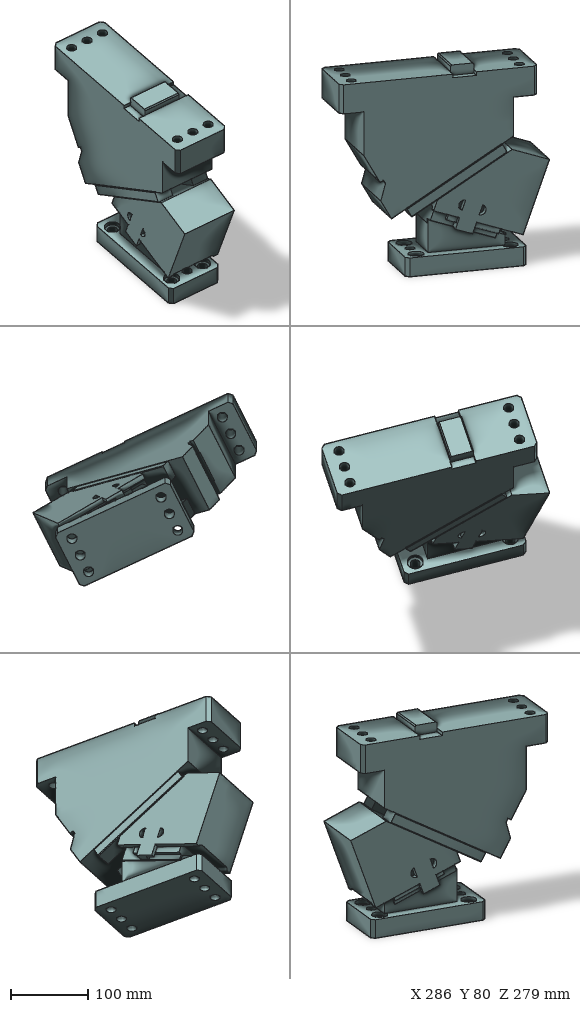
import cadquery as cq
import math

overall_length = 286.0
width = 80.0
half_width = width / 2
corner_chamfer = 5.0
bolt_diameter = 13.0
bolt_pitch = 25.0

drive_angle = 30.0
travel_angle = 20.0

flange_length = 270.0
flange_top = 270.0
flange_thickness = 39.5
flange_bottom = flange_top - flange_thickness
flange_hole_inset = 20.3
block_left = 33.0
block_right = 237.0
block_wall_bottom = 170.5
nose_tip_x = 70.3
nose_tip_z = 81.5
nose_face_length = 29.5
notch_face_length = 44.0
notch_depth = 5.1
notch_width = 5.5
notch_relief_length = 1.5
notch_relief_depth = 6.5
notch_relief_half_width = 21.2
strip_start = 24.0
strip_length = 150.0
strip_thickness = 14.5
strip_chamfer = 1.1
strip_gap_half_width = 16.5

key_left = 154.0
key_length = 32.0
key_y_min = -29.7
key_y_max = 25.0
key_seat_depth = 5.0
key_top = 279.0
key_chamfer = 1.7

travel_origin_x = 127.8
travel_origin_z = 86.5
slider_height = 105.2
groove_half_width = 33.2
groove_depth = 4.0
groove_radius = 5.0
jaw_start = 37.5
jaw_length = 25.0
jaw_depth = 16.0
jaw_side_inner = 34.5
hook_inner = 28.3
hook_length = 12.5
jaw_ledge_depth = 9.0
relief_radius = 7.0
relief_height = 17.5
relief_depth = 8.5

plate_left = 90.3
plate_length = 165.0
plate_thickness = 25.7
plate_hole_inset = 18.3
counterbore_diameter = 20.5
counterbore_depth = 5.1
stem_left = 125.2
stem_length = 105.0
stem_half_width = 25.0
shoulder_depth = 9.0
rail_start = 5.1
rail_end = 99.8
rail_half_width = 27.7
rail_foot_depth = 16.0
wing_start = 24.3
wing_bottom_depth = 8.5
stem_slot_half_width = 20.0
stem_slot_depth = 6.5

drive_sin = math.sin(math.radians(drive_angle))
drive_cos = math.cos(math.radians(drive_angle))
travel_sin = math.sin(math.radians(travel_angle))
travel_cos = math.cos(math.radians(travel_angle))
slider_length = (overall_length - travel_origin_x - slider_height * travel_sin) / travel_cos
clearance = 3.0


def block(x0, x1, y0, y1, z0, z1):
    """Box between two opposite corners."""
    return cq.Workplane("XY").box(x1 - x0, y1 - y0, z1 - z0, centered=False).translate((x0, y0, z0))


def mid_block(x0, x1, half_y, z0, z1):
    """Box centred on the Y = 0 plane."""
    return block(x0, x1, -half_y, half_y, z0, z1)


def prism(points, half_y):
    """XZ outline extruded evenly to both sides of the Y = 0 plane."""
    return cq.Workplane("XZ").polyline(points).close().extrude(half_y, both=True)


def place_on_drive(shape):
    """Move a shape from nose-tip coordinates onto the sloping driver face."""
    return shape.rotate((0, 0, 0), (0, 1, 0), -drive_angle).translate((nose_tip_x, 0, nose_tip_z))


def place_on_travel(shape):
    """Move a shape from slider coordinates onto the sloping travel direction."""
    return shape.rotate((0, 0, 0), (0, 1, 0), travel_angle).translate((travel_origin_x, 0, travel_origin_z))


def both_sides(shape):
    """A shape together with its mirror image across Y = 0."""
    return shape.union(shape.mirror("XZ"))


def hole_row(x, top, depth, diameter, y_places):
    """Vertical cylinders hanging down from a given height."""
    points = [(x, y) for y in y_places]
    return cq.Workplane("XY").workplane(offset=top).pushPoints(points).circle(diameter / 2).extrude(-depth)


def driver_block():
    flange = mid_block(0, flange_length, half_width, flange_bottom, flange_top)
    flange = flange.edges("|Z").chamfer(corner_chamfer)
    notch_x = block_left + notch_face_length * drive_sin
    notch_z = block_wall_bottom - notch_face_length * drive_cos
    inner_x = notch_x + notch_depth * drive_cos
    inner_z = notch_z + notch_depth * drive_sin
    outline = [
        (block_left, flange_top - corner_chamfer),
        (block_left, block_wall_bottom),
        (notch_x, notch_z),
        (inner_x, inner_z),
        (inner_x + notch_width * drive_sin, inner_z - notch_width * drive_cos),
        (nose_tip_x - nose_face_length * drive_sin, nose_tip_z + nose_face_length * drive_cos),
        (nose_tip_x, nose_tip_z),
        (block_right, nose_tip_z + (block_right - nose_tip_x) * drive_sin / drive_cos),
        (block_right, flange_top - corner_chamfer),
    ]
    relief = mid_block(-clearance, notch_relief_depth, notch_relief_half_width, -notch_width, notch_relief_length)
    relief = relief.rotate((0, 0, 0), (0, 1, 0), -drive_angle).translate((notch_x, 0, notch_z))
    return flange.union(prism(outline, half_width)).cut(relief)


def slide_strips():
    strip_end = strip_start + strip_length
    strip = block(strip_start, strip_end, -half_width, -strip_gap_half_width, -strip_thickness, 0)
    strip = strip.faces("<Y").edges("|X").chamfer(strip_chamfer)
    return place_on_drive(both_sides(strip))


def driver_key():
    key = block(key_left, key_left + key_length, key_y_min, key_y_max, flange_top - key_seat_depth, key_top)
    return key.faces(">Z").edges("|Y").chamfer(key_chamfer)


def make_driver():
    rows = (-bolt_pitch, 0, bolt_pitch)
    seat = mid_block(key_left, key_left + key_length, half_width, flange_top - key_seat_depth, flange_top)
    front_holes = hole_row(flange_hole_inset, flange_top, flange_thickness, bolt_diameter, rows)
    rear_x = flange_length - flange_hole_inset
    rear_holes = hole_row(rear_x, flange_top, flange_thickness, bolt_diameter, rows)
    body = driver_block().cut(seat).cut(front_holes).cut(rear_holes)
    return body.union(slide_strips()).union(driver_key())


def slider_wedge():
    strip_x = nose_tip_x + strip_thickness * drive_sin - travel_origin_x
    strip_z = nose_tip_z - strip_thickness * drive_cos - travel_origin_z
    strip_s = strip_x * travel_cos - strip_z * travel_sin
    strip_n = strip_x * travel_sin + strip_z * travel_cos
    slope = math.tan(math.radians(drive_angle + travel_angle))
    outline = [
        (0, 0),
        (slider_length, 0),
        (slider_length, slider_height),
        (strip_s + (slider_height - strip_n) / slope, slider_height),
        (0, strip_n - strip_s * slope),
    ]
    return prism(outline, half_width)


def rail_groove():
    groove = mid_block(-clearance, slider_length + clearance, groove_half_width, -clearance, groove_depth)
    return groove.faces(">Z").edges("|X").fillet(groove_radius)


def jaw():
    jaw_end = jaw_start + jaw_length
    side = block(jaw_start, jaw_end, -half_width, -jaw_side_inner, -jaw_depth, 0)
    hook = block(jaw_start, jaw_start + hook_length, -half_width, -hook_inner, -jaw_depth, -jaw_ledge_depth)
    return side.union(hook)


def jaw_reliefs():
    """Half-round pockets whose flat sides line up with the sides of the jaw."""
    jaw_end = jaw_start + jaw_length
    centers = [(jaw_start, relief_height), (jaw_end, relief_height)]
    rounds = cq.Workplane("XZ", origin=(0, -half_width, 0)).pushPoints(centers).circle(relief_radius)
    rounds = rounds.extrude(-relief_depth)
    return rounds.cut(mid_block(jaw_start, jaw_end, half_width, 0, slider_height))


def make_slider():
    body = slider_wedge().cut(rail_groove()).cut(both_sides(jaw_reliefs()))
    return place_on_travel(body.union(both_sides(jaw())))


def base_plate():
    plate = mid_block(plate_left, plate_left + plate_length, half_width, 0, plate_thickness)
    plate = plate.edges("|Z").chamfer(corner_chamfer)
    bolt_rows = (-bolt_pitch, bolt_pitch)
    for x in (plate_left + plate_hole_inset, plate_left + plate_length - plate_hole_inset):
        plate = plate.cut(hole_row(x, plate_thickness, plate_thickness, bolt_diameter, (0, *bolt_rows)))
        plate = plate.cut(hole_row(x, plate_thickness, counterbore_depth, counterbore_diameter, bolt_rows))
    return plate


def stem():
    stem_right = stem_left + stem_length
    column = mid_block(stem_left, stem_right, stem_half_width, plate_thickness, flange_bottom)
    cut_start = -stem_length
    cut_end = 2 * stem_length
    above = mid_block(cut_start, cut_end, half_width, -shoulder_depth, flange_top)
    seat = mid_block(cut_start, rail_end, half_width, -rail_foot_depth, flange_top)
    slot_bottom = -rail_foot_depth - stem_slot_depth
    slot = mid_block(cut_start, rail_start, stem_slot_half_width, slot_bottom, 0)
    return column.cut(place_on_travel(above.union(seat).union(slot)))


def rail():
    web = mid_block(rail_start, rail_end, rail_half_width, -rail_foot_depth, groove_depth)
    wings = mid_block(wing_start, rail_end, groove_half_width, -wing_bottom_depth, groove_depth)
    wings = wings.faces(">Z").edges("|X").fillet(groove_radius)
    return place_on_travel(web.union(wings))


def make_base():
    return base_plate().union(stem()).union(rail())


driver = make_driver()
slider = make_slider()
base = make_base()

result = cq.Compound.makeCompound([driver.val(), slider.val(), base.val()])